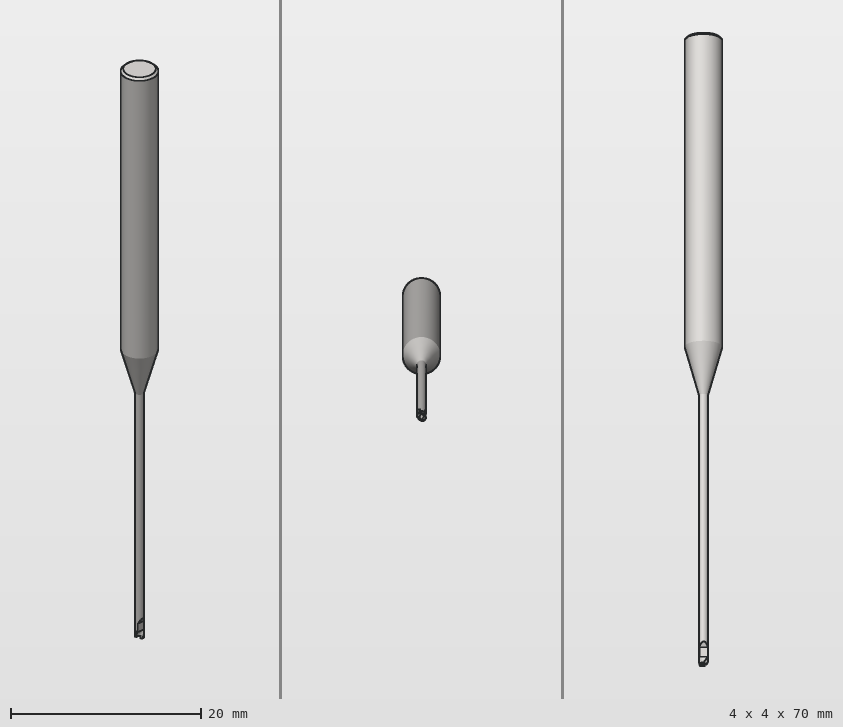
import cadquery as cq
import math

total_length = 70.0
shank_diameter = 4.0
shank_chamfer = 0.3
neck_diameter = 1.0
neck_end = 30.1
cone_end = 35.5

cutter_diameter = neck_diameter
cutter_length = 0.85
web_thickness = 0.5
helix_angle = 36.0
gash_width = 0.4
gash_depth = 0.2

flute_top = 1.9
runout_length = 0.55

cutter_radius = cutter_diameter / 2
twist_angle = math.degrees(cutter_length * math.tan(math.radians(helix_angle)) / cutter_radius)


def make_cutter():
    """Twisted blade with rounded cutting edges and a central end gash."""
    section = (
        cq.Sketch()
        .circle(cutter_radius)
        .reset()
        .rect(cutter_diameter, web_thickness, mode="i")
    )
    blade = cq.Workplane("XY").placeSketch(section).twistExtrude(cutter_length, twist_angle)
    gash = cq.Workplane("XY").box(
        gash_width, cutter_diameter, gash_depth, centered=(True, True, False)
    )
    return blade.cut(gash)


def make_flute(flute_angle):
    """Cutting volume of one straight flute, sloping out to the surface of the neck."""
    outside = neck_diameter
    return (
        cq.Workplane("XZ")
        .moveTo(web_thickness / 2, cutter_length)
        .lineTo(web_thickness / 2, flute_top)
        .lineTo(neck_diameter / 2, flute_top + runout_length)
        .lineTo(outside, flute_top + runout_length)
        .lineTo(outside, cutter_length)
        .close()
        .extrude(neck_diameter, both=True)
        .rotate((0, 0, 0), (0, 0, 1), flute_angle)
    )


def make_shank():
    """Round shank, cone and slender neck turned as one piece."""
    shank_radius = shank_diameter / 2
    neck_radius = neck_diameter / 2
    shank = (
        cq.Workplane("XZ")
        .moveTo(0, cutter_length)
        .lineTo(neck_radius, cutter_length)
        .lineTo(neck_radius, neck_end)
        .lineTo(shank_radius, cone_end)
        .lineTo(shank_radius, total_length - shank_chamfer)
        .lineTo(shank_radius - shank_chamfer, total_length)
        .lineTo(0, total_length)
        .close()
        .revolve(360, (0, 0), (0, 1))
    )
    for flute_angle in (twist_angle + 90, twist_angle - 90):
        shank = shank.cut(make_flute(flute_angle))
    return shank


cutter = make_cutter()
shank = make_shank()

result = cq.Compound.makeCompound([shank.val(), cutter.val()])